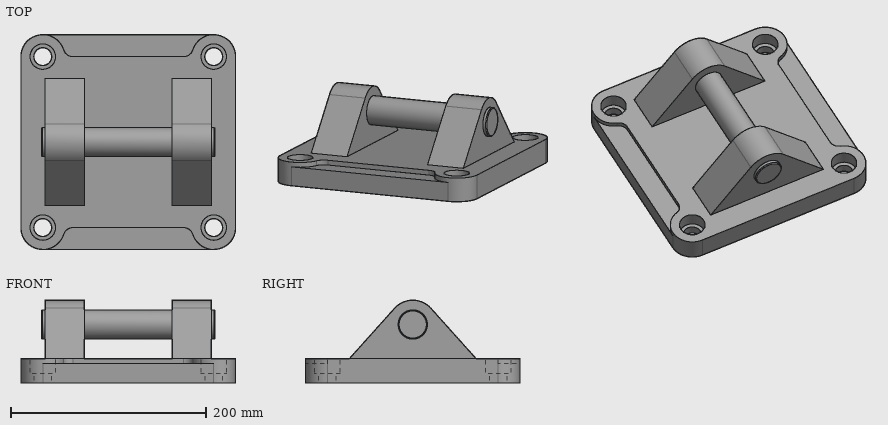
import cadquery as cq
import math

plate_side = 220
plate_height = 25
corner_radius = 22.5
corner_offset = plate_side / 2 - corner_radius

hole_diameter = 18
counterbore_diameter = 26
counterbore_depth = 15

step_depth = 5
step_fillet_radius = 10

lug_thickness = 40
lug_base_length = 130
lug_gap = 90
lug_top_radius = 25
pin_height = 35

pin_diameter = 30
pin_overhang = 4
pin_length = lug_gap + 2 * (lug_thickness + pin_overhang)
pin_chamfer = 1

pin_axis_z = plate_height + pin_height


def make_plate():
    """Square plate with rounded vertical corners."""
    plate = cq.Workplane("XY").box(plate_side, plate_side, plate_height, centered=(True, True, False))
    return plate.edges("|Z").fillet(corner_radius)


def make_step_cutter():
    """Cutter for the step at the +Y edge; its ends curve round the corner pads."""
    inner_y = corner_offset
    outer_y = plate_side / 2
    fillet_y = inner_y + step_fillet_radius
    centre_distance = corner_radius + step_fillet_radius
    fillet_x = corner_offset - math.sqrt(centre_distance**2 - step_fillet_radius**2)

    share = corner_radius / centre_distance
    meet_x = corner_offset + (fillet_x - corner_offset) * share
    meet_y = corner_offset + step_fillet_radius * share

    meet_angle = math.atan2(meet_y - fillet_y, meet_x - fillet_x)
    fillet_middle_angle = (meet_angle - math.pi / 2) / 2
    fillet_middle_x = fillet_x + step_fillet_radius * math.cos(fillet_middle_angle)
    fillet_middle_y = fillet_y + step_fillet_radius * math.sin(fillet_middle_angle)

    start_angle = math.atan2(step_fillet_radius, fillet_x - corner_offset)
    pad_middle_angle = (start_angle + math.pi / 2) / 2
    pad_middle_x = corner_offset + corner_radius * math.cos(pad_middle_angle)
    pad_middle_y = corner_offset + corner_radius * math.sin(pad_middle_angle)

    return (
        cq.Workplane("XY", origin=(0, 0, plate_height - step_depth))
        .moveTo(-fillet_x, inner_y)
        .lineTo(fillet_x, inner_y)
        .threePointArc((fillet_middle_x, fillet_middle_y), (meet_x, meet_y))
        .threePointArc((pad_middle_x, pad_middle_y), (corner_offset, outer_y))
        .lineTo(-corner_offset, outer_y)
        .threePointArc((-pad_middle_x, pad_middle_y), (-meet_x, meet_y))
        .threePointArc((-fillet_middle_x, fillet_middle_y), (-fillet_x, inner_y))
        .close()
        .extrude(step_depth)
    )


def cut_mounting_holes(plate):
    """Counterbored through holes at the four corners."""
    return (
        plate.faces(">Z")
        .workplane(origin=(0, 0, plate_height))
        .rect(2 * corner_offset, 2 * corner_offset, forConstruction=True)
        .vertices()
        .cboreHole(hole_diameter, counterbore_diameter, counterbore_depth)
    )


def make_lug(start_x):
    """Lug spanning lug_thickness in +X from start_x, its flanks tangent to the rounded top."""
    half_base = lug_base_length / 2
    base_corner_distance = math.hypot(half_base, pin_height)
    base_corner_angle = math.atan2(-pin_height, half_base)
    flank_angle = base_corner_angle + math.acos(lug_top_radius / base_corner_distance)
    tangent_y = lug_top_radius * math.cos(flank_angle)
    tangent_z = pin_axis_z + lug_top_radius * math.sin(flank_angle)
    return (
        cq.Workplane("YZ", origin=(start_x, 0, 0))
        .moveTo(-half_base, plate_height)
        .lineTo(half_base, plate_height)
        .lineTo(tangent_y, tangent_z)
        .threePointArc((0, pin_axis_z + lug_top_radius), (-tangent_y, tangent_z))
        .close()
        .extrude(lug_thickness)
    )


def make_pin():
    """Pin along X with chamfered ends."""
    start = (-pin_length / 2, 0, pin_axis_z)
    pin = cq.Workplane("YZ", origin=start).circle(pin_diameter / 2).extrude(pin_length)
    return pin.faces("<X or >X").chamfer(pin_chamfer)


body = cut_mounting_holes(make_plate())
step_cutter = make_step_cutter()
body = body.cut(step_cutter).cut(step_cutter.mirror("XZ"))
for lug_start_x in (-lug_gap / 2 - lug_thickness, lug_gap / 2):
    body = body.union(make_lug(lug_start_x))
result = body.union(make_pin())